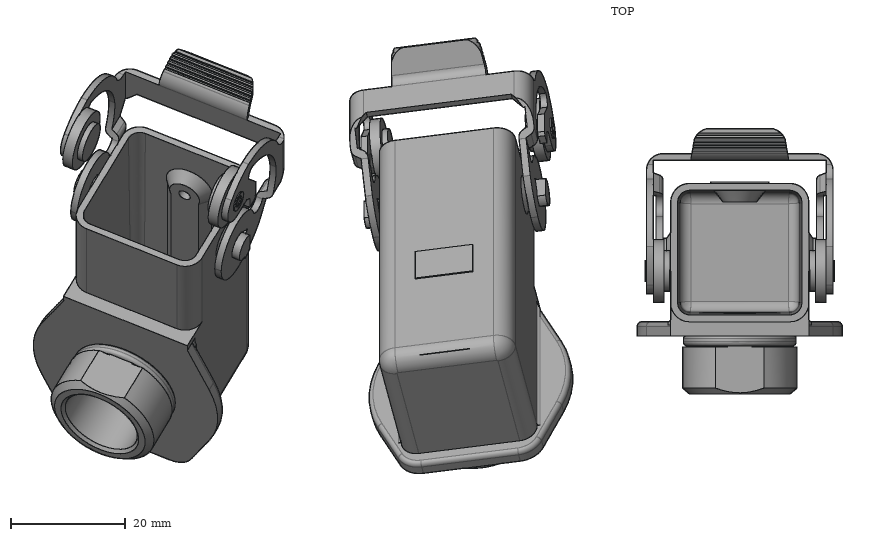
import cadquery as cq
import math

BODY_HALF = 12.05
BODY_FRONT, BODY_BACK = 2.5, 26.65
BODY_BOTTOM, BODY_TOP = 2.5, 54.95
BODY_CORNER = 3.3
BOTTOM_FILLET = 3.1
WALL = 1.2
CAVITY_CORNER = 2.2
CAVITY_DRAFT = 0.55
CAVITY_FLOOR = 4.0
FLOOR_FILLET = 1.9
BODY_MID_Y = (BODY_FRONT + BODY_BACK) / 2
BODY_DEPTH = BODY_BACK - BODY_FRONT

PAD_WIDTH, PAD_HEIGHT, PAD_Z = 10.2, 6.3, 24.5
PAD_RISE = 0.25
RIB_BASE_HALF, RIB_TIP_HALF = 4.42, 2.68
RIB_FOOT_TIP_HALF, RIB_FOOT_TOP = 2.45, 21.7
RIB_DEPTH = 2.1
BOSS_Z, BOSS_BASE_RADIUS, BOSS_TIP_RADIUS = 44.5, 4.6, 2.9
BOSS_HOLE_RADIUS = 1.1

PLATE_TOP = 36.0
PLATE_THICK = 2.53
PLATE_RADIUS = 35.86 / 2
WING_TOP = 34.6
PLATE_BOTTOM_ROUND = 4.5
WING_EDGE_ROUND = 0.85
WING_ROOT_FILLET = 0.5

ENTRY_Z = PLATE_RADIUS
COLLAR_RADIUS, COLLAR_LENGTH = 9.85, 1.75
COLLAR_PLATE_ROUND, COLLAR_NUT_ROUND = 0.4, 0.8
NECK_RADIUS = 9.3
NUT_START, NUT_END = 1.85, 10.1
NUT_RADIUS, NUT_FLAT = 10.0, 9.05
NUT_CHAMFER_LENGTH, NUT_CHAMFER_DEPTH = 1.2, 1.05
BORE_RADIUS, BORE_CHAMFER = 7.0, 0.55

LEVER_OUT = 16.27
SHEET = 1.2
LEVER_IN = LEVER_OUT - SHEET
HUB_OUT, HUB_IN = 14.63, 13.37
JOGGLE_TOP, JOGGLE_MID, JOGGLE_BOTTOM = 52.57, 51.75, 51.05
JOGGLE_ROUND = 1.1
HUB_SPLIT_Y, HUB_SPLIT_Z = 22.5, 57.0
LEVER_BACK, LEVER_SHOULDER = 31.84, 62.97
BEND_RADIUS = 2.9
TOOTH_FRONT, TOOTH_BACK = 16.05, 18.45
TOOTH_BOTTOM, TOOTH_TOP = 59.8, 64.5
TOOTH_BEVEL, TOOTH_RELIEF = 0.55, 1.15
WINDOW_HALF, WINDOW_TOP = 12.86, 57.55
WINDOW_FOOT = 53.0
WINDOW_SLOPE = 0.8

ROLLER_Y, ROLLER_Z = 11.36, 67.5
ROLLER_RADIUS, ROLLER_IN = 5.5, 13.2
ROLLER_STEP_RADIUS, ROLLER_STEP_IN = 3.55, 12.2
ARM_END_RADIUS = 4.0
RIVET_RADIUS, RIVET_RECESS, RIVET_RISE = 1.82, 1.05, 0.24

PIN_Y, PIN_Z = 14.7, 49.35
PIN_RADIUS, PIN_OUT = 2.4, 16.1
PIN_FLAT_Y = 16.45
PIN_KEY_Y, PIN_KEY_RADIUS = 14.45, 2.9
PIN_SEAT_RADIUS, PIN_SEAT_TAPER = 3.4, 0.7
KEYHOLE_APEX_Y, KEYHOLE_APEX_Z = 18.44, 49.4

TAB_ROOT_HALF, TAB_TIP_HALF, TAB_END_HALF = 8.55, 7.95, 5.75
TAB_BEND = math.radians(50)
TAB_BEND_RADIUS = 2.3
TAB_LENGTH = 4.62
TAB_CORNER_DROP = 1.9
TAB_CORNER_INSET = 0.78
GROOVES, GROOVE_PITCH, GROOVE_WIDTH, GROOVE_DEPTH = 5, 0.78, 0.45, 0.25


def box(x0, x1, y0, y1, z0, z1):
    return cq.Workplane("XY").box(x1 - x0, y1 - y0, z1 - z0, centered=False).translate((x0, y0, z0))


def along_x(radius, y, z, x0, x1):
    return cq.Workplane("YZ", origin=(x0, y, z)).circle(radius).extrude(x1 - x0)


def along_minus_y(radius, y0, length):
    return cq.Workplane("XZ", origin=(0, y0, ENTRY_Z)).circle(radius).extrude(length)


def mirrored(half):
    return half.union(half.mirror("YZ"))


def make_body():
    tube = box(-BODY_HALF, BODY_HALF, BODY_FRONT, BODY_BACK, BODY_BOTTOM, BODY_TOP)
    tube = tube.edges("|Z").fillet(BODY_CORNER).faces("<Z").edges().fillet(BOTTOM_FILLET)
    lower = box(-BODY_HALF, BODY_HALF, 0, BODY_FRONT + BODY_CORNER, BODY_BOTTOM, PLATE_TOP)
    lower = lower.faces("<Z").edges("|Y").fillet(BOTTOM_FILLET)
    pad = box(-PAD_WIDTH / 2, PAD_WIDTH / 2, BODY_BACK - WALL / 2, BODY_BACK + PAD_RISE,
              PAD_Z - PAD_HEIGHT / 2, PAD_Z + PAD_HEIGHT / 2)
    return tube.union(lower).union(pad)


def make_plate_outline(thickness):
    """Slab, widest at the height of the cable entry, with straight flanks tangent to that round stretch."""
    reach = math.hypot(BODY_HALF, WING_TOP - ENTRY_Z)
    lean = math.atan2(WING_TOP - ENTRY_Z, BODY_HALF) - math.acos(PLATE_RADIUS / reach)
    tangent_x = PLATE_RADIUS * math.cos(lean)
    tangent_rise = PLATE_RADIUS * math.sin(lean)
    foot = (PLATE_RADIUS - ENTRY_Z * math.sin(lean)) / math.cos(lean)
    upper, lower = ENTRY_Z + tangent_rise, ENTRY_Z - tangent_rise
    return (
        cq.Workplane("XZ")
        .moveTo(-foot, 0)
        .lineTo(foot, 0)
        .lineTo(tangent_x, lower)
        .threePointArc((PLATE_RADIUS, ENTRY_Z), (tangent_x, upper))
        .lineTo(BODY_HALF, WING_TOP)
        .lineTo(BODY_HALF, PLATE_TOP)
        .lineTo(-BODY_HALF, PLATE_TOP)
        .lineTo(-BODY_HALF, WING_TOP)
        .lineTo(-tangent_x, upper)
        .threePointArc((-PLATE_RADIUS, ENTRY_Z), (-tangent_x, lower))
        .close()
        .extrude(-thickness)
    )


def make_plate():
    plate = make_plate_outline(PLATE_THICK).edges("|Y and <Z").fillet(PLATE_BOTTOM_ROUND)
    return plate.faces(">Y").edges().fillet(WING_EDGE_ROUND)


def make_wing_root_fillets():
    """Concave fillet strips in the corners between the tube sides and the wings, cut to the wing outline."""
    corner_y = PLATE_THICK + WING_ROOT_FILLET
    corner_x = BODY_HALF + WING_ROOT_FILLET
    diagonal = WING_ROOT_FILLET * math.sqrt(0.5)
    strip = (
        cq.Workplane("XY", origin=(0, 0, BODY_BOTTOM + BOTTOM_FILLET))
        .moveTo(BODY_HALF - WALL / 2, PLATE_THICK - WALL / 2)
        .lineTo(corner_x, PLATE_THICK - WALL / 2)
        .lineTo(corner_x, PLATE_THICK)
        .threePointArc((corner_x - diagonal, corner_y - diagonal), (BODY_HALF, corner_y))
        .lineTo(BODY_HALF - WALL / 2, corner_y)
        .close()
        .extrude(WING_TOP - BODY_BOTTOM - BOTTOM_FILLET)
    )
    return mirrored(strip).intersect(make_plate_outline(corner_y))


def make_cable_entry():
    collar = along_minus_y(COLLAR_RADIUS, 0, COLLAR_LENGTH)
    collar = collar.faces("<Y").edges().fillet(COLLAR_NUT_ROUND)
    collar = collar.faces(">Y").edges().fillet(COLLAR_PLATE_ROUND)
    neck = along_minus_y(NECK_RADIUS, 0, NUT_START)
    nut = along_minus_y(NUT_RADIUS, -NUT_START, NUT_END - NUT_START)
    nut = nut.faces("<Y").edges().chamfer(NUT_CHAMFER_DEPTH, NUT_CHAMFER_LENGTH)
    flats = box(-NUT_RADIUS, NUT_RADIUS, -NUT_END, 0, ENTRY_Z - NUT_FLAT, ENTRY_Z + NUT_FLAT)
    return collar.union(neck.union(nut).intersect(flats))


def make_cavity():
    width, depth = 2 * (BODY_HALF - WALL), BODY_DEPTH - 2 * WALL
    cavity = (
        cq.Workplane("XY", origin=(0, BODY_MID_Y, BODY_TOP))
        .sketch().rect(width, depth).vertices().fillet(CAVITY_CORNER).finalize()
        .extrude(CAVITY_FLOOR - BODY_TOP, taper=CAVITY_DRAFT)
    )
    return cavity.faces("<Z").edges().fillet(FLOOR_FILLET)


def make_bore():
    bore = along_minus_y(BORE_RADIUS, BODY_MID_Y, BODY_MID_Y + NUT_END)
    mouth = cq.Solid.makeCone(BORE_RADIUS + BORE_CHAMFER, BORE_RADIUS, BORE_CHAMFER,
                              pnt=cq.Vector(0, -NUT_END, ENTRY_Z), dir=cq.Vector(0, 1, 0))
    return bore.union(cq.Workplane(mouth))


def make_rib():
    """Tapered rib up the back wall, slimmer at its foot, with a drilled conical boss at the top."""
    root_y = BODY_BACK - WALL
    tip_y = root_y - RIB_DEPTH
    floor = BODY_BOTTOM + WALL

    def length_of_rib(tip_half, bottom, top):
        outline = [(-RIB_BASE_HALF, root_y), (RIB_BASE_HALF, root_y), (tip_half, tip_y), (-tip_half, tip_y)]
        return cq.Workplane("XY", origin=(0, 0, bottom)).polyline(outline).close().extrude(top - bottom)

    rib = length_of_rib(RIB_FOOT_TIP_HALF, floor, RIB_FOOT_TOP)
    rib = rib.union(length_of_rib(RIB_TIP_HALF, RIB_FOOT_TOP, BOSS_Z))
    rib = rib.union(box(-RIB_BASE_HALF, RIB_BASE_HALF, root_y, BODY_BACK - WALL / 2, floor, BOSS_Z))
    boss = cq.Solid.makeCone(BOSS_BASE_RADIUS, BOSS_TIP_RADIUS, RIB_DEPTH,
                             pnt=cq.Vector(0, root_y, BOSS_Z), dir=cq.Vector(0, -1, 0))
    hole = cq.Workplane("XZ", origin=(0, root_y, BOSS_Z)).circle(BOSS_HOLE_RADIUS).extrude(RIB_DEPTH)
    return rib.union(cq.Workplane(boss)).cut(hole)


def make_lever_profile():
    """Side outline of the lever: bridge, back of the claw, arm end, tooth, throat, notch, hub, full width."""
    end_bottom = ROLLER_Z - ARM_END_RADIUS
    bridge_foot = (LEVER_BACK, 56.55)
    shoulder_start, shoulder_mid, shoulder_end = (29.9, LEVER_SHOULDER), (28.55, 63.3), (27.44, 64.4)
    claw_mid, claw_top = (22.4, 71.0), (15.6, 73.16)
    arm_mid, arm_end = (12.2, 72.5), (8.9, 70.7)
    throat_start, throat_mid, throat_end = (15.7, 68.6), (15.9, 70.0), (17.1, 70.65)
    inner_upper, inner_back, inner_lower = (23.6, 66.1), (26.4, 59.0), (26.05, 54.9)
    notch_start, notch_bottom, notch_end = (24.4, 51.0), (22.4, 50.0), (20.9, 51.2)
    hub_top, hub_front, hub_lower_front, hub_bottom = (14.5, 56.1), (8.1, 49.75), (10.6, 44.2), (15.8, 42.7)
    heel_mid, heel_end, back_knee = (19.7, 43.6), (23.2, 45.8), (27.2, 51.0)
    return (
        cq.Workplane("YZ", origin=(-LEVER_OUT, 0, 0))
        .moveTo(*bridge_foot)
        .lineTo(LEVER_BACK, LEVER_SHOULDER)
        .lineTo(*shoulder_start)
        .threePointArc(shoulder_mid, shoulder_end)
        .threePointArc(claw_mid, claw_top)
        .threePointArc(arm_mid, arm_end)
        .threePointArc((ROLLER_Y - ARM_END_RADIUS, ROLLER_Z), (ROLLER_Y, end_bottom))
        .lineTo(TOOTH_FRONT - TOOTH_RELIEF, end_bottom)
        .lineTo(TOOTH_FRONT, end_bottom - TOOTH_RELIEF)
        .lineTo(TOOTH_FRONT, TOOTH_BOTTOM)
        .lineTo(TOOTH_BACK - TOOTH_BEVEL, TOOTH_BOTTOM)
        .lineTo(TOOTH_BACK, TOOTH_BOTTOM + TOOTH_BEVEL)
        .lineTo(TOOTH_BACK, TOOTH_TOP)
        .lineTo(*throat_start)
        .threePointArc(throat_mid, throat_end)
        .threePointArc(inner_upper, inner_back)
        .threePointArc(inner_lower, notch_start)
        .threePointArc(notch_bottom, notch_end)
        .threePointArc(hub_top, hub_front)
        .threePointArc(hub_lower_front, hub_bottom)
        .threePointArc(heel_mid, heel_end)
        .lineTo(*back_knee)
        .close()
        .extrude(2 * LEVER_OUT)
    )


def make_window():
    """Opening below the bridge, with slanted shoulders down to the inner arm faces."""
    shoulder_drop = (LEVER_IN - WINDOW_HALF) / WINDOW_SLOPE
    outline = [(-LEVER_IN, WINDOW_FOOT), (-LEVER_IN, WINDOW_TOP - shoulder_drop), (-WINDOW_HALF, WINDOW_TOP),
               (WINDOW_HALF, WINDOW_TOP), (LEVER_IN, WINDOW_TOP - shoulder_drop), (LEVER_IN, WINDOW_FOOT)]
    window = cq.Workplane("XZ", origin=(0, LEVER_BACK, 0)).polyline(outline).close()
    return window.extrude(BEND_RADIUS)


def make_lever_sheet():
    profile = make_lever_profile()
    far = LEVER_OUT + SHEET
    high = LEVER_SHOULDER * 2
    hub_zone = box(-far, far, 0, HUB_SPLIT_Y, 0, HUB_SPLIT_Z)

    arms_and_bridge = box(-LEVER_OUT, LEVER_OUT, 0, LEVER_BACK, JOGGLE_TOP, high)
    arms_and_bridge = arms_and_bridge.edges("|Z and >Y").fillet(BEND_RADIUS)
    arms_and_bridge = arms_and_bridge.cut(box(-LEVER_IN, LEVER_IN, 0, LEVER_BACK - SHEET, 0, high))
    arms_and_bridge = arms_and_bridge.intersect(profile).cut(hub_zone).cut(make_window())

    hub = box(HUB_IN, HUB_OUT, 0, LEVER_BACK, 0, JOGGLE_BOTTOM)
    hub = hub.union(box(HUB_IN, HUB_OUT, 0, HUB_SPLIT_Y, 0, HUB_SPLIT_Z))
    joggle_outline = [(LEVER_IN, JOGGLE_TOP), (LEVER_OUT, JOGGLE_TOP), (LEVER_OUT, JOGGLE_MID),
                      (HUB_OUT, JOGGLE_BOTTOM), (HUB_IN, JOGGLE_BOTTOM), (HUB_IN, JOGGLE_MID)]
    joggle = cq.Workplane("XZ", origin=(0, LEVER_BACK, 0)).polyline(joggle_outline).close()
    joggle = joggle.extrude(LEVER_BACK - HUB_SPLIT_Y)
    bends = cq.selectors.BoxSelector((0, HUB_SPLIT_Y + SHEET, JOGGLE_MID - JOGGLE_ROUND / 2),
                                     (far, LEVER_BACK - SHEET, JOGGLE_MID + JOGGLE_ROUND / 2))
    joggle = joggle.edges(bends).fillet(JOGGLE_ROUND)
    hub = hub.union(joggle).intersect(profile).cut(make_keyhole())
    return arms_and_bridge.union(mirrored(hub))


def make_keyhole():
    """Round hole with a pointed side, its flanks tangent to the round part."""
    to_apex = math.atan2(KEYHOLE_APEX_Z - PIN_Z, KEYHOLE_APEX_Y - PIN_Y)
    reach = math.hypot(KEYHOLE_APEX_Z - PIN_Z, KEYHOLE_APEX_Y - PIN_Y)
    spread = math.acos(PIN_RADIUS / reach)

    def rim(angle):
        return (PIN_Y + PIN_RADIUS * math.cos(angle), PIN_Z + PIN_RADIUS * math.sin(angle))

    return (
        cq.Workplane("YZ", origin=(HUB_IN, 0, 0))
        .moveTo(KEYHOLE_APEX_Y, KEYHOLE_APEX_Z)
        .lineTo(*rim(to_apex + spread))
        .threePointArc(rim(to_apex + math.pi), rim(to_apex - spread))
        .close()
        .extrude(HUB_OUT - HUB_IN)
    )


def make_pin():
    far = PIN_RADIUS * 2
    pin = along_x(PIN_RADIUS, PIN_Y, PIN_Z, BODY_HALF - WALL / 2, PIN_OUT)
    pin = pin.cut(box(HUB_IN, PIN_OUT, PIN_FLAT_Y, PIN_FLAT_Y + far, PIN_Z - far, PIN_Z + far))
    key = along_x(PIN_KEY_RADIUS, PIN_Y, PIN_Z, HUB_IN, PIN_OUT)
    pin = pin.union(key.intersect(box(HUB_IN, PIN_OUT, PIN_KEY_Y, PIN_FLAT_Y, PIN_Z - far, PIN_Z)))
    seat = cq.Solid.makeCone(PIN_SEAT_RADIUS, PIN_RADIUS, PIN_SEAT_TAPER,
                             pnt=cq.Vector(BODY_HALF, PIN_Y, PIN_Z), dir=cq.Vector(1, 0, 0))
    return mirrored(pin.union(cq.Workplane(seat)))


def make_roller():
    roller = along_x(ROLLER_RADIUS, ROLLER_Y, ROLLER_Z, ROLLER_IN, LEVER_IN)
    roller = roller.union(along_x(ROLLER_STEP_RADIUS, ROLLER_Y, ROLLER_Z, ROLLER_STEP_IN, ROLLER_IN))
    rivet_face = LEVER_OUT + RIVET_RISE
    rivet = along_x(RIVET_RADIUS, ROLLER_Y, ROLLER_Z, LEVER_IN, rivet_face)
    rivet = rivet.cut(along_x(RIVET_RECESS, ROLLER_Y, ROLLER_Z, LEVER_OUT, rivet_face))
    return mirrored(roller.union(rivet))


def make_tab():
    """Thumb tab: leaves the bridge upward, bends outward and ends in a grooved grip."""
    bend_y = LEVER_BACK + TAB_BEND_RADIUS
    outer_radius = TAB_BEND_RADIUS + SHEET

    def on_bend(radius, angle):
        return (bend_y - radius * math.cos(angle), LEVER_SHOULDER + radius * math.sin(angle))

    def beyond_bend(radius, distance):
        y, z = on_bend(radius, TAB_BEND)
        return (y + distance * math.sin(TAB_BEND), z + distance * math.cos(TAB_BEND))

    sheet = (
        cq.Workplane("YZ", origin=(-TAB_ROOT_HALF, 0, 0))
        .moveTo(LEVER_BACK, LEVER_SHOULDER)
        .threePointArc(on_bend(TAB_BEND_RADIUS, TAB_BEND / 2), on_bend(TAB_BEND_RADIUS, TAB_BEND))
        .lineTo(*beyond_bend(TAB_BEND_RADIUS, TAB_LENGTH))
        .lineTo(*beyond_bend(outer_radius, TAB_LENGTH))
        .lineTo(*on_bend(outer_radius, TAB_BEND))
        .threePointArc(on_bend(outer_radius, TAB_BEND / 2), (LEVER_BACK - SHEET, LEVER_SHOULDER))
        .close()
        .extrude(2 * TAB_ROOT_HALF)
    )
    for number in range(GROOVES):
        distance = TAB_LENGTH - GROOVE_PITCH * (number + 1)
        groove = (
            cq.Workplane("YZ", origin=(-TAB_ROOT_HALF, 0, 0))
            .polyline([beyond_bend(outer_radius, distance - GROOVE_WIDTH / 2),
                       beyond_bend(outer_radius - GROOVE_DEPTH, distance),
                       beyond_bend(outer_radius, distance + GROOVE_WIDTH / 2)])
            .close()
            .extrude(2 * TAB_ROOT_HALF)
        )
        sheet = sheet.cut(groove)

    tip_y, tip_z = beyond_bend(TAB_BEND_RADIUS, TAB_LENGTH)
    corner_y = tip_y - TAB_CORNER_DROP
    shoulder_y = LEVER_BACK - SHEET
    round_x = TAB_TIP_HALF - TAB_CORNER_INSET
    round_y = tip_y - TAB_CORNER_INSET
    plan = (
        cq.Workplane("XY")
        .moveTo(-TAB_ROOT_HALF, shoulder_y)
        .lineTo(TAB_ROOT_HALF, shoulder_y)
        .lineTo(TAB_TIP_HALF, corner_y)
        .threePointArc((round_x, round_y), (TAB_END_HALF, tip_y))
        .lineTo(-TAB_END_HALF, tip_y)
        .threePointArc((-round_x, round_y), (-TAB_TIP_HALF, corner_y))
        .close()
        .extrude(tip_z * 2)
    )
    return sheet.intersect(plan)


housing = make_body().union(make_plate()).union(make_wing_root_fillets()).union(make_cable_entry())
housing = housing.cut(make_cavity()).cut(make_bore()).union(make_rib())
lever = make_lever_sheet().union(make_roller()).union(make_tab())
result = housing.union(make_pin()).union(lever)